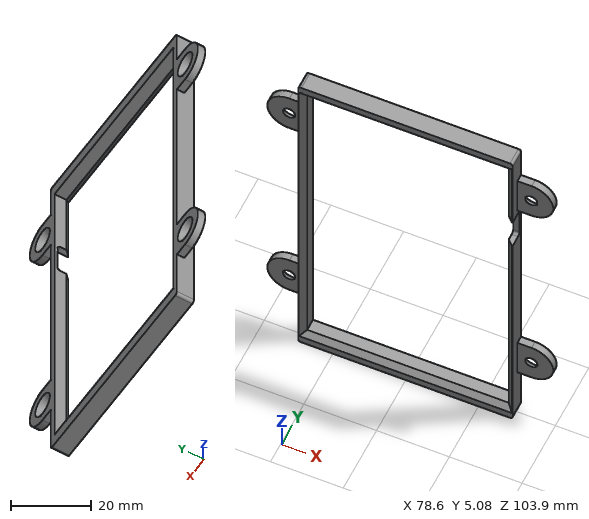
import cadquery as cq

frame_width = 58.95
frame_height = 103.89
frame_depth = 5.08
corner_radius = 0.8
front_y = -frame_depth / 2
back_y = frame_depth / 2

side_wall = 1.78
end_wall = 3.8
bevel = 1.55
window_width = frame_width - 2 * side_wall
window_height = frame_height - 2 * end_wall

overall_width = 78.61
ear_radius = 6.03
ear_thickness = 2.18
ear_hole_diameter = 3.3
countersink_diameter = 6.8
ear_center_x = overall_width / 2 - ear_radius
upper_ear_z = 35.7
lower_ear_z = -30.35

notch_top_z = 28.1
notch_bottom_z = 18.6
notch_floor_thickness = 0.95
notch_floor_radius = 0.8


def make_frame():
    """Rounded rectangular plate, before the window is cut."""
    plate = cq.Workplane("XY").box(frame_width, frame_depth, frame_height)
    return plate.edges("|Y").fillet(corner_radius)


def make_ear(side, center_z):
    """Round-ended ear with a hole countersunk from the back; side is +1 for +X, -1 for -X."""
    center_x = side * ear_center_x
    root_x = side * (frame_width - side_wall) / 2
    ear = (
        cq.Workplane("XZ", origin=(0, back_y, 0))
        .moveTo(root_x, center_z + ear_radius)
        .lineTo(center_x, center_z + ear_radius)
        .threePointArc(
            (center_x + side * ear_radius, center_z),
            (center_x, center_z - ear_radius),
        )
        .lineTo(root_x, center_z - ear_radius)
        .close()
        .extrude(ear_thickness)
    )
    hole = cq.Solid.makeCone(
        countersink_diameter / 2,
        ear_hole_diameter / 2,
        ear_thickness,
        pnt=cq.Vector(center_x, back_y, center_z),
        dir=cq.Vector(0, -1, 0),
    )
    return ear.cut(cq.Workplane(obj=hole))


def make_window():
    """Straight opening through the full depth plus the bevel at its front edge."""
    opening = cq.Workplane("XY").box(window_width, frame_depth, window_height)
    flare = (
        cq.Workplane("XZ", origin=(0, front_y + bevel, 0))
        .rect(window_width, window_height)
        .workplane(offset=bevel)
        .rect(window_width + 2 * bevel, window_height + 2 * bevel)
        .loft(ruled=True)
    )
    return opening.union(flare)


def make_notch():
    """Cutter that passes through the +X wall from the front down to the notch floor."""
    notch_height = notch_top_z - notch_bottom_z
    notch_depth = frame_depth - notch_floor_thickness
    notch_length = 2 * side_wall
    notch = cq.Workplane("XY").box(notch_length, notch_depth, notch_height)
    notch = notch.faces(">Y").edges("|X").fillet(notch_floor_radius)
    center_y = front_y + notch_depth / 2
    center_z = (notch_top_z + notch_bottom_z) / 2
    return notch.translate((frame_width / 2 - side_wall / 2, center_y, center_z))


result = make_frame().cut(make_window()).cut(make_notch())
for side in (-1, 1):
    for center_z in (lower_ear_z, upper_ear_z):
        result = result.union(make_ear(side, center_z))